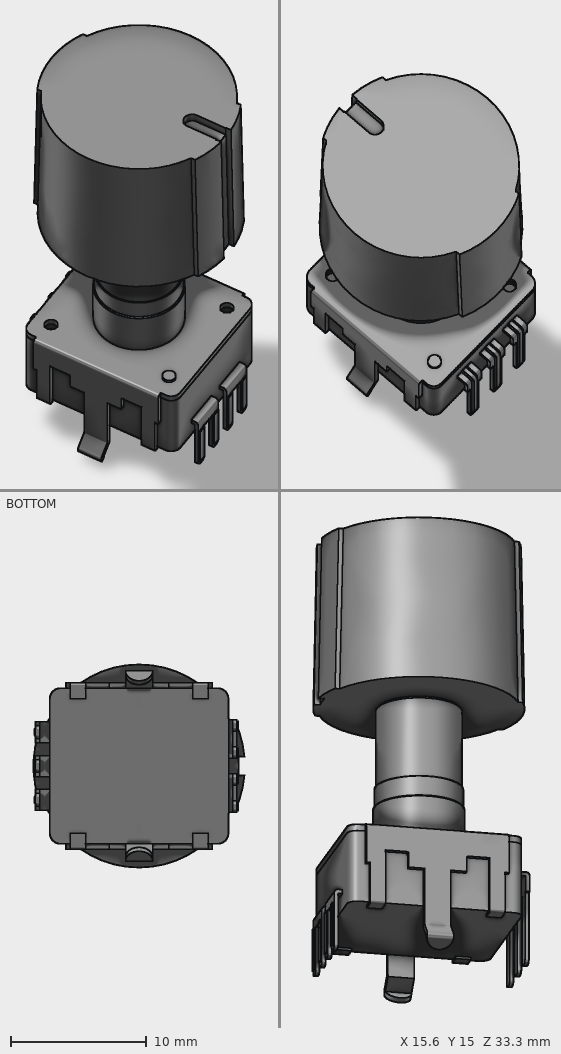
import math

import cadquery as cq


HOUSING_X = 13.2
HOUSING_Y = 11.5
HOUSING_BOTTOM = -6.0
CORNER_RADIUS = 0.8
PEG_DIAMETER = 1.0
PEG_HEIGHT = 0.2
PEG_X = 5.1
PEG_Y = 4.1
SOCKET_DEPTH = 0.5

PLATE_THICKNESS = 0.5
TAB_THICKNESS = 0.4
TAB_BEND_RADIUS = 0.3
TAB_HALF_WIDTH = 5.4
LEG_OUTER = 5.1
LEG_INNER = 3.95
LEG_SHOULDER_Z = -3.05
WINDOW_TOP_Z = -2.0
WINDOW_STEP_X = 2.2
WINDOW_STEP_Z = -3.2
WINDOW_CORNER_RADIUS = 0.15
FOOT_THICKNESS = 0.2
FOOT_LENGTH = 1.2
FOOT_BEND_RADIUS = 0.19

TONGUE_WIDTH = 2.0
TONGUE_BEND_Z = -7.55
TONGUE_CREASE_RADIUS = 0.2
TONGUE_REACH = 0.88
TONGUE_BEND_RADIUS = 0.4
TONGUE_BOTTOM = -9.5

BUSHING_TOP = 11.3
BUSHING_STEPS = [(6.8, 3.5, 0.1), (6.6, 5.0, 0), (6.4, BUSHING_TOP, 0.2)]

KNOB_BOTTOM = BUSHING_TOP
KNOB_HEIGHT = 12.5
KNOB_RADIUS = 7.5
GRIP_RADIUS = 7.81
KNOB_DRAFT = 0.25
GRIP_WIDTH = 6.5
POINTER_WIDTH = 1.3
POINTER_START_X = 3.95
POINTER_DEPTH = 0.7
NOTCH_WIDTH = 1.4
NOTCH_DEPTH = 0.45

STRIP_THICKNESS = 0.3
STRIP_BEND_RADIUS = 0.3
STRIP_INNER_RADIUS = 0.1
TIP_CORNER_RADIUS = 0.3
BEAD_BASE = 0.6
BEAD_CREST = 0.35
BEAD_HEIGHT = 0.1
BEAD_END_GAP = 0.4

ENCODER_PITCH = 2.5
ENCODER_REACH = 1.05
ENCODER_TOP = -1.9
ENCODER_BOTTOM = -8.9
ENCODER_WIDTH = 0.95
ENCODER_SHOULDER_WIDTH = 1.55
ENCODER_SHOULDER_Z = -3.4

PRONG_PITCH = 2.0
FORK_REACH = 0.62
FORK_TOP = -4.4
FORK_BOTTOM = -9.0
PRONG_WIDTH = 0.85
FORK_CROTCH_Z = -5.4

HALF_X = HOUSING_X / 2
HALF_Y = HOUSING_Y / 2
TAB_OUTER_Y = HALF_Y + TAB_THICKNESS
PEG_CORNERS = [(-PEG_X, PEG_Y), (PEG_X, -PEG_Y)]
HOLE_CORNERS = [(-PEG_X, -PEG_Y), (PEG_X, PEG_Y)]


def block(x_range, y_range, z_range):
    size = [high - low for low, high in (x_range, y_range, z_range)]
    corner = (x_range[0], y_range[0], z_range[0])
    return cq.Workplane("XY").box(*size, centered=False).translate(corner)


def rounded_slab(bottom, top):
    slab = block((-HALF_X, HALF_X), (-HALF_Y, HALF_Y), (bottom, top))
    return slab.edges("|Z").fillet(CORNER_RADIUS)


def make_housing():
    """Rounded block with two pegs that pass through the plate and sockets below its open holes."""
    pegs = (
        cq.Workplane("XY", origin=(0, 0, -PLATE_THICKNESS))
        .pushPoints(PEG_CORNERS)
        .circle(PEG_DIAMETER / 2)
        .extrude(PLATE_THICKNESS + PEG_HEIGHT)
    )
    sockets = (
        cq.Workplane("XY", origin=(0, 0, -PLATE_THICKNESS))
        .pushPoints(HOLE_CORNERS)
        .circle(PEG_DIAMETER / 2)
        .extrude(-SOCKET_DEPTH)
    )
    return rounded_slab(HOUSING_BOTTOM, -PLATE_THICKNESS).cut(sockets).union(pegs)


def make_bushing():
    """Stepped sleeve whose bottom step also fills the middle of the plate."""
    bushing = cq.Workplane("XY")
    base = -PLATE_THICKNESS
    for diameter, top, chamfer in BUSHING_STEPS:
        step = cq.Workplane("XY", origin=(0, 0, base)).circle(diameter / 2).extrude(top - base)
        if chamfer > 0:
            step = step.faces(">Z").chamfer(chamfer)
        bushing = bushing.union(step)
        base = top
    return bushing


def make_window(side):
    """Stepped opening between the tongue and the leg on one side (+1 or -1) of the tab."""
    y_range = (-TAB_OUTER_Y, -HALF_Y)
    upper_x = sorted((side * WINDOW_STEP_X, side * LEG_INNER))
    lower_x = sorted((side * TONGUE_WIDTH / 2, side * LEG_INNER))
    below_legs = HOUSING_BOTTOM - FOOT_THICKNESS
    upper = block(upper_x, y_range, (below_legs, WINDOW_TOP_Z))
    inner_edge = "<X" if side > 0 else ">X"
    upper = upper.edges("|Y").edges(">Z").edges(inner_edge).fillet(WINDOW_CORNER_RADIUS)
    return upper.union(block(lower_x, y_range, (below_legs, WINDOW_STEP_Z)))


def make_foot(side):
    """End of a leg, crimped inwards under the housing."""
    foot_bottom = HOUSING_BOTTOM - FOOT_THICKNESS
    foot = block(
        sorted((side * LEG_INNER, side * LEG_OUTER)),
        (-TAB_OUTER_Y, -TAB_OUTER_Y + FOOT_LENGTH),
        (foot_bottom, HOUSING_BOTTOM),
    )
    return foot.edges("|X").edges("<Z").edges("<Y").fillet(FOOT_BEND_RADIUS)


def make_tongue():
    """Snap-in tongue: straight down, out at 45 degrees, then back in with a rounded tip."""
    slant = TAB_THICKNESS * math.sqrt(2)
    bend_shift = TAB_THICKNESS * math.tan(math.radians(22.5))
    knee_run = TONGUE_REACH + TONGUE_BEND_RADIUS * (math.sqrt(2) - 1)
    knee_y = -TAB_OUTER_Y - knee_run
    knee_z = TONGUE_BEND_Z - knee_run
    tip_y = knee_y + knee_z - TONGUE_BOTTOM
    profile = [
        (-TAB_OUTER_Y, HOUSING_BOTTOM),
        (-TAB_OUTER_Y, TONGUE_BEND_Z),
        (knee_y, knee_z),
        (tip_y, TONGUE_BOTTOM),
        (tip_y + slant / 2, TONGUE_BOTTOM + slant / 2),
        (knee_y + slant, knee_z),
        (-HALF_Y, TONGUE_BEND_Z - bend_shift),
        (-HALF_Y, HOUSING_BOTTOM),
    ]
    strip = cq.Workplane("YZ").polyline(profile).close().extrude(TONGUE_WIDTH / 2, both=True)
    strip = strip.edges("|X").edges("<Y").fillet(TONGUE_BEND_RADIUS)
    crease = cq.selectors.NearestToPointSelector((0, -TAB_OUTER_Y, TONGUE_BEND_Z))
    strip = strip.edges("|X").edges(crease).fillet(TONGUE_CREASE_RADIUS)

    tip_plane = cq.Plane(origin=(0, tip_y, TONGUE_BOTTOM), xDir=(1, 0, 0), normal=(0, -1, -1))
    radius = TONGUE_WIDTH / 2
    tongue_span = 2 * abs(TONGUE_BOTTOM - HOUSING_BOTTOM)
    outline = (
        cq.Workplane(tip_plane)
        .moveTo(-radius, tongue_span)
        .lineTo(-radius, radius)
        .threePointArc((0, 0), (radius, radius))
        .lineTo(radius, tongue_span)
        .close()
        .extrude(tongue_span, both=True)
    )
    return strip.intersect(outline)


def make_tab():
    """Sheet tab on the -Y side: folded from the plate, with two legs and the tongue."""
    y_range = (-TAB_OUTER_Y, -HALF_Y)
    tab = block((-TAB_HALF_WIDTH, TAB_HALF_WIDTH), y_range, (LEG_SHOULDER_Z, 0))
    tab = tab.edges("|X").edges(">Z").edges("<Y").fillet(TAB_BEND_RADIUS)
    tab = tab.union(block((-LEG_OUTER, LEG_OUTER), y_range, (HOUSING_BOTTOM, LEG_SHOULDER_Z)))
    for side in (-1, 1):
        tab = tab.cut(make_window(side)).union(make_foot(side))
    return tab.union(make_tongue())


def make_cover():
    """Plate with the bushing on top and a tab on both Y sides."""
    tab = make_tab()
    peg_holes = (
        cq.Workplane("XY")
        .pushPoints(PEG_CORNERS + HOLE_CORNERS)
        .circle(PEG_DIAMETER / 2)
        .extrude(-PLATE_THICKNESS)
    )
    cover = rounded_slab(-PLATE_THICKNESS, 0).cut(peg_holes).union(make_bushing())
    return cover.union(tab).union(tab.rotate((0, 0, 0), (0, 0, 1), 180))


def make_cone(bottom_radius):
    top_radius = bottom_radius - KNOB_DRAFT
    profile = [(0, 0), (bottom_radius, 0), (top_radius, KNOB_HEIGHT), (0, KNOB_HEIGHT)]
    cone = cq.Workplane("XZ").polyline(profile).close().revolve(360, (0, 0, 0), (0, 1, 0))
    return cone.translate((0, 0, KNOB_BOTTOM))


def make_knob():
    """Tapered knob with raised grips on the X sides and a pointer slot on the +X side."""
    knob_top = KNOB_BOTTOM + KNOB_HEIGHT
    grip_band = block(
        (-GRIP_RADIUS, GRIP_RADIUS), (-GRIP_WIDTH / 2, GRIP_WIDTH / 2), (KNOB_BOTTOM, knob_top)
    )
    knob = make_cone(KNOB_RADIUS).union(make_cone(GRIP_RADIUS).intersect(grip_band))

    half_width = POINTER_WIDTH / 2
    slot = (
        cq.Workplane("XY", origin=(0, 0, knob_top - POINTER_DEPTH))
        .moveTo(GRIP_RADIUS, -half_width)
        .lineTo(POINTER_START_X + half_width, -half_width)
        .threePointArc((POINTER_START_X, 0), (POINTER_START_X + half_width, half_width))
        .lineTo(GRIP_RADIUS, half_width)
        .close()
        .extrude(POINTER_DEPTH)
    )
    notch = block(
        (0, GRIP_RADIUS), (-NOTCH_WIDTH / 2, NOTCH_WIDTH / 2), (KNOB_BOTTOM, knob_top)
    )
    notch = notch.cut(make_cone(GRIP_RADIUS - NOTCH_DEPTH))
    return knob.cut(slot).cut(notch)


def make_strip(reach, top, bottom, width):
    """Flat strip leaving the housing in +X and bent straight down."""
    outer_x = HALF_X + reach
    inner_x = outer_x - STRIP_THICKNESS
    profile = [
        (HALF_X, top),
        (outer_x, top),
        (outer_x, bottom),
        (inner_x, bottom),
        (inner_x, top - STRIP_THICKNESS),
        (HALF_X, top - STRIP_THICKNESS),
    ]
    strip = cq.Workplane("XZ").polyline(profile).close().extrude(width / 2, both=True)
    strip = strip.edges("|Y").edges(">X").edges(">Z").fillet(STRIP_BEND_RADIUS)
    inner_corner = cq.selectors.NearestToPointSelector((inner_x, 0, top - STRIP_THICKNESS))
    return strip.edges("|Y").edges(inner_corner).fillet(STRIP_INNER_RADIUS)


def round_tips(terminal):
    return terminal.faces("<Z").edges("|X").fillet(TIP_CORNER_RADIUS)


def bead_section(plane):
    """Trapezoid standing on the strip and sunk into it by its own height."""
    half_base = BEAD_BASE / 2
    half_crest = BEAD_CREST / 2
    points = [
        (-half_base, -BEAD_HEIGHT),
        (-half_base, 0),
        (-half_crest, BEAD_HEIGHT),
        (half_crest, BEAD_HEIGHT),
        (half_base, 0),
        (half_base, -BEAD_HEIGHT),
    ]
    return cq.Workplane(plane).polyline(points).close()


def make_bent_bead(reach, top, bottom):
    """Stiffening bead that follows the outside of the strip around its bend."""
    outer_x = HALF_X + reach
    radius = STRIP_BEND_RADIUS
    arc_middle = radius * (1 - math.sqrt(0.5))
    path = (
        cq.Workplane("XZ")
        .moveTo(HALF_X, top)
        .lineTo(outer_x - radius, top)
        .threePointArc((outer_x - arc_middle, top - arc_middle), (outer_x, top - radius))
        .lineTo(outer_x, bottom)
    )
    plane = cq.Plane(origin=(HALF_X, 0, top), xDir=(0, 1, 0), normal=(1, 0, 0))
    return bead_section(plane).sweep(path)


def make_straight_bead(reach, top, bottom):
    plane = cq.Plane(origin=(HALF_X + reach, 0, top), xDir=(0, -1, 0), normal=(0, 0, -1))
    return bead_section(plane).extrude(top - bottom)


def make_encoder_terminal():
    """Single terminal: wide shoulders at the bend and a bead along its whole length."""
    strip = make_strip(ENCODER_REACH, ENCODER_TOP, ENCODER_BOTTOM, ENCODER_SHOULDER_WIDTH)
    for side in (-1, 1):
        y_range = sorted((side * ENCODER_WIDTH / 2, side * ENCODER_SHOULDER_WIDTH / 2))
        below_shoulder = (ENCODER_BOTTOM, ENCODER_SHOULDER_Z)
        strip = strip.cut(block((HALF_X, HALF_X + ENCODER_REACH), y_range, below_shoulder))
    bead = make_bent_bead(ENCODER_REACH, ENCODER_TOP, ENCODER_BOTTOM + BEAD_END_GAP)
    return round_tips(strip).union(bead)


def make_fork_terminal():
    """Terminal with two beaded prongs below a common bent strip."""
    strip = make_strip(FORK_REACH, FORK_TOP, FORK_BOTTOM, PRONG_PITCH + PRONG_WIDTH)
    half_gap = (PRONG_PITCH - PRONG_WIDTH) / 2
    gap_x = (HALF_X, HALF_X + FORK_REACH)
    strip = strip.cut(block(gap_x, (-half_gap, half_gap), (FORK_BOTTOM, FORK_CROTCH_Z)))
    fork = round_tips(strip)
    bead = make_straight_bead(FORK_REACH, FORK_CROTCH_Z, FORK_BOTTOM + BEAD_END_GAP)
    for side in (-1, 1):
        fork = fork.union(bead.translate((0, side * PRONG_PITCH / 2, 0)))
    return fork


housing = make_housing()
cover = make_cover()
knob = make_knob()

encoder_terminal = make_encoder_terminal().rotate((0, 0, 0), (0, 0, 1), 180)
encoder_terminals = []
for place in (-1, 0, 1):
    encoder_terminals.append(encoder_terminal.translate((0, place * ENCODER_PITCH, 0)).val())

fork_terminal = make_fork_terminal()
fork_terminals = []
for side in (-1, 1):
    fork_terminals.append(fork_terminal.translate((0, side * PRONG_PITCH, 0)).val())

result = cq.Compound.makeCompound(
    [housing.val(), cover.val(), knob.val(), *encoder_terminals, *fork_terminals]
)